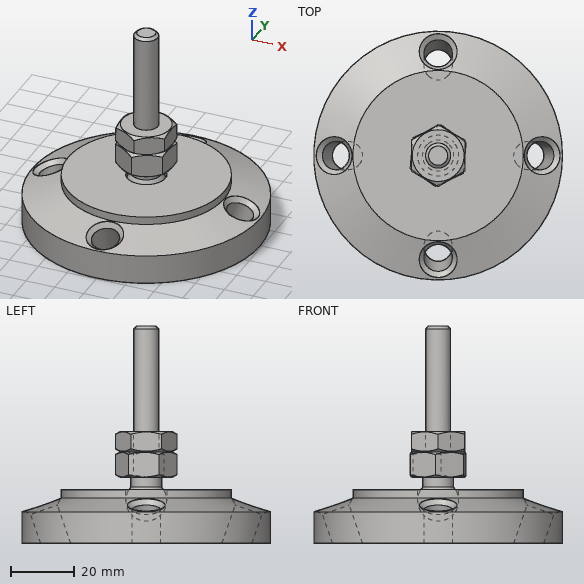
import cadquery as cq
import math

base_diameter = 79
disc_diameter = 54.0
rim_height = 10.0
shoulder_top = 14.4
disc_top = 17.1

mount_count = 4
mount_diameter = 9.0
countersink_diameter = 12.0
mount_circle_radius = 33.0
mouth_sink = 0.2
countersink_depth = (countersink_diameter - mount_diameter) / 2
drill_length = 31.6
mouth_clearance = 3.95

ball_diameter = 13.0
ball_center_z = 13.6
neck_diameter = 9.9
rod_diameter = 8.0
rod_top = 69.05
rod_chamfer = 0.95

across_flats = 17.0
across_corners = across_flats / math.cos(math.radians(30))
stud_hex_bottom = 20.9
stud_hex_top = 29.1
stud_hex_turn = -5.2
stud_hex_face_diameter = 16.4
stud_hex_bevel = 0.9
nut_top = 35.55
nut_face_diameter = 16.4
nut_bevel = 0.95


def cylinder(diameter, bottom, top):
    return cq.Workplane("XY").workplane(offset=bottom).circle(diameter / 2).extrude(top - bottom)


def ball():
    return cq.Workplane("XY").sphere(ball_diameter / 2).translate((0, 0, ball_center_z))


def beveled_hexagon(bottom, top, turn, face_diameter, bevel):
    """Hexagonal prism with corners on Y before turning, and conically beveled ends."""
    prism = (
        cq.Workplane("XY")
        .workplane(offset=bottom)
        .transformed(rotate=(0, 0, 90 + turn))
        .polygon(6, across_corners)
        .extrude(top - bottom)
    )
    face_radius = face_diameter / 2
    corner_radius = across_corners / 2
    envelope = (
        cq.Workplane("XZ")
        .moveTo(0, bottom)
        .lineTo(face_radius, bottom)
        .lineTo(corner_radius, bottom + bevel)
        .lineTo(corner_radius, top - bevel)
        .lineTo(face_radius, top)
        .lineTo(0, top)
        .close()
        .revolve(360, (0, 0), (0, 1))
    )
    return prism.intersect(envelope)


def mounting_hole_cutter(angle):
    """Countersunk drill whose axis meets the shoulder at right angles."""
    base_radius = base_diameter / 2
    disc_radius = disc_diameter / 2
    shoulder_run = base_radius - disc_radius
    shoulder_rise = shoulder_top - rim_height
    axis_height = rim_height + shoulder_rise * (base_radius - mount_circle_radius) / shoulder_run
    hole_radius = mount_diameter / 2
    axis_plane = cq.Plane(
        origin=(mount_circle_radius, 0, axis_height), xDir=(0, 1, 0), normal=(shoulder_rise, 0, shoulder_run)
    )
    countersink = (
        cq.Workplane(axis_plane)
        .workplane(offset=-mouth_sink)
        .circle(countersink_diameter / 2)
        .workplane(offset=-countersink_depth)
        .circle(hole_radius)
        .loft()
    )
    clearance = (
        cq.Workplane(axis_plane)
        .workplane(offset=-mouth_sink)
        .circle(countersink_diameter / 2)
        .extrude(mouth_sink + mouth_clearance)
    )
    drill = (
        cq.Workplane(axis_plane)
        .workplane(offset=-drill_length)
        .circle(hole_radius)
        .extrude(drill_length)
    )
    return drill.union(countersink).union(clearance).rotate((0, 0, 0), (0, 0, 1), angle)


def make_base():
    base_radius = base_diameter / 2
    disc_radius = disc_diameter / 2
    base = (
        cq.Workplane("XZ")
        .moveTo(0, 0)
        .lineTo(base_radius, 0)
        .lineTo(base_radius, rim_height)
        .lineTo(disc_radius, shoulder_top)
        .lineTo(disc_radius, disc_top)
        .lineTo(0, disc_top)
        .close()
        .revolve(360, (0, 0), (0, 1))
    )
    base = base.cut(ball()).cut(cylinder(ball_diameter, ball_center_z, disc_top))
    for index in range(mount_count):
        base = base.cut(mounting_hole_cutter(index * 360 / mount_count))
    return base


def make_stud():
    neck = cylinder(neck_diameter, ball_center_z, stud_hex_bottom)
    hexagon = beveled_hexagon(
        stud_hex_bottom, stud_hex_top, stud_hex_turn, stud_hex_face_diameter, stud_hex_bevel
    )
    rod = cylinder(rod_diameter, stud_hex_top, rod_top).faces(">Z").chamfer(rod_chamfer)
    return ball().union(neck).union(hexagon).union(rod)


def make_lock_nut():
    nut = beveled_hexagon(stud_hex_top, nut_top, 0, nut_face_diameter, nut_bevel)
    return nut.cut(cylinder(rod_diameter, stud_hex_top, nut_top))


base = make_base()
stud = make_stud()
lock_nut = make_lock_nut()

result = cq.Compound.makeCompound([base.val(), stud.val(), lock_nut.val()])